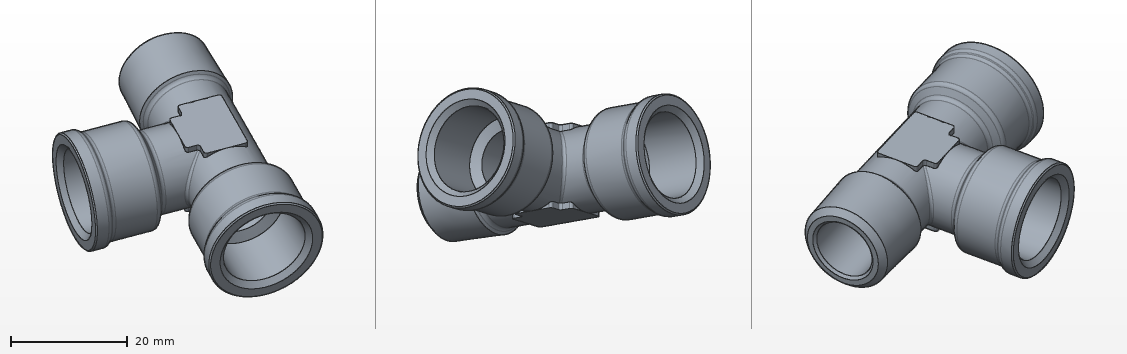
import cadquery as cq
import math

male_reach = 24.5
socket_reach = 25.5
pipe_radius = 7.5
bore_radius = 5.5

neck_start = 11.5
neck_angle = 60.0
rim_angle = 45.0
blend_radius = 1.0

socket_radius = 9.75
rim_radius = 10.5
rim_start = 21.55
rim_chamfer = 0.25
thread_radius = 7.5
mouth_radius = 8.5
mouth_depth = 1.0
thread_depth = 11.0
thread_end_angle = 68.0

male_radius = 8.55
male_taper = 1 / 32
male_chamfer = 1.15
bore_chamfer = 0.5

flat_half_width = 4.0
flat_reach = 6.5
flat_corner_radius = 0.5
flat_thickness = 2.5

crease_radius = 0.5
crease_half_height = 6.75


def slope_rise(radius, angle):
    """Axial and radial extent of an arc turning from the axis direction by an angle."""
    turn = math.radians(angle)
    return radius * math.sin(turn), radius * (1 - math.cos(turn))


def concave_arc(profile, start, radius, angle):
    """Arc leaving a cylinder tangentially and curving outward."""
    middle_along, middle_out = slope_rise(blend_radius, angle / 2)
    along, out = slope_rise(blend_radius, angle)
    return profile.threePointArc(
        (start + middle_along, radius + middle_out), (start + along, radius + out)
    )


def rounded_step(profile, start, low_radius, high_radius, angle):
    """Concave arc, cone and convex arc from one cylinder up to a larger one."""
    middle_along, middle_out = slope_rise(blend_radius, angle / 2)
    along, out = slope_rise(blend_radius, angle)
    cone_rise = high_radius - low_radius - 2 * out
    end = start + 2 * along + cone_rise / math.tan(math.radians(angle))
    profile = concave_arc(profile, start, low_radius, angle)
    profile = profile.lineTo(end - along, high_radius - out)
    return profile.threePointArc((end - middle_along, high_radius - middle_out), (end, high_radius))


def revolve_about_x(profile):
    return profile.close().revolve(360, (0, 0, 0), (1, 0, 0))


def arm_profile():
    """Start of an arm's outline, up to the end of its plain pipe."""
    return cq.Workplane("XY").lineTo(0, pipe_radius).lineTo(neck_start, pipe_radius)


def socket_arm():
    """Solid socket arm along +X."""
    profile = rounded_step(arm_profile(), neck_start, pipe_radius, socket_radius, neck_angle)
    profile = profile.lineTo(rim_start, socket_radius)
    profile = rounded_step(profile, rim_start, socket_radius, rim_radius, rim_angle)
    profile = profile.lineTo(socket_reach - rim_chamfer, rim_radius)
    profile = profile.lineTo(socket_reach, rim_radius - rim_chamfer)
    return revolve_about_x(profile.lineTo(socket_reach, 0))


def socket_hole():
    """Chamfered threaded hole, closing cone and bore along +X."""
    thread_end = socket_reach - thread_depth
    cone_length = (thread_radius - bore_radius) / math.tan(math.radians(thread_end_angle))
    profile = (
        cq.Workplane("XY")
        .lineTo(0, bore_radius)
        .lineTo(thread_end - cone_length, bore_radius)
        .lineTo(thread_end, thread_radius)
        .lineTo(socket_reach - mouth_depth, thread_radius)
        .lineTo(socket_reach, mouth_radius)
        .lineTo(socket_reach, 0)
    )
    return revolve_about_x(profile)


def male_arm():
    """Solid tapered male arm along +X."""
    along, out = slope_rise(blend_radius, neck_angle)
    cone_rise = male_radius - pipe_radius - out
    taper_start = neck_start + along + cone_rise / math.tan(math.radians(neck_angle))
    taper_end = male_reach - male_chamfer
    tip_radius = male_radius - male_taper * (taper_end - taper_start)
    profile = concave_arc(arm_profile(), neck_start, pipe_radius, neck_angle)
    profile = (
        profile.lineTo(taper_start, male_radius)
        .lineTo(taper_end, tip_radius)
        .lineTo(male_reach, tip_radius - male_chamfer)
        .lineTo(male_reach, 0)
    )
    return revolve_about_x(profile)


def male_hole():
    """Bore with a chamfered mouth along +X."""
    profile = (
        cq.Workplane("XY")
        .lineTo(0, bore_radius)
        .lineTo(male_reach - bore_chamfer, bore_radius)
        .lineTo(male_reach, bore_radius + bore_chamfer)
        .lineTo(male_reach, 0)
    )
    return revolve_about_x(profile)


def turned(arm, angle):
    """Swing an arm from +X about the vertical axis."""
    return arm.rotate((0, 0, 0), (0, 0, 1), angle)


def rounded_crease():
    """Core of the pipe tee with the two creases beside the branch rounded."""
    run = cq.Workplane("YZ").circle(pipe_radius).extrude(neck_start, both=True)
    branch = cq.Workplane("XZ").circle(pipe_radius).extrude(neck_start)
    slab = cq.Workplane("XY").box(3 * neck_start, 3 * neck_start, 2 * crease_half_height)
    core = run.union(branch).intersect(slab)
    return core.edges("%ELLIPSE").fillet(crease_radius)


def t_flat():
    """T-shaped pad whose face is level with the top of the pipe."""
    bar = cq.Workplane("XY").box(2 * flat_reach, 2 * flat_half_width, flat_thickness)
    stem = cq.Workplane("XY").box(2 * flat_half_width, flat_reach, flat_thickness)
    pad = bar.union(stem.translate((0, -flat_reach / 2, 0))).clean()
    pad = pad.edges("|Z").fillet(flat_corner_radius)
    return pad.translate((0, 0, pipe_radius - flat_thickness / 2))


top_flat = t_flat()
bottom_flat = top_flat.mirror("XY")

body = socket_arm().union(turned(socket_arm(), -90)).union(turned(male_arm(), 180))
body = body.union(rounded_crease()).union(top_flat).union(bottom_flat)
holes = socket_hole().union(turned(socket_hole(), -90)).union(turned(male_hole(), 180))
result = body.cut(holes)